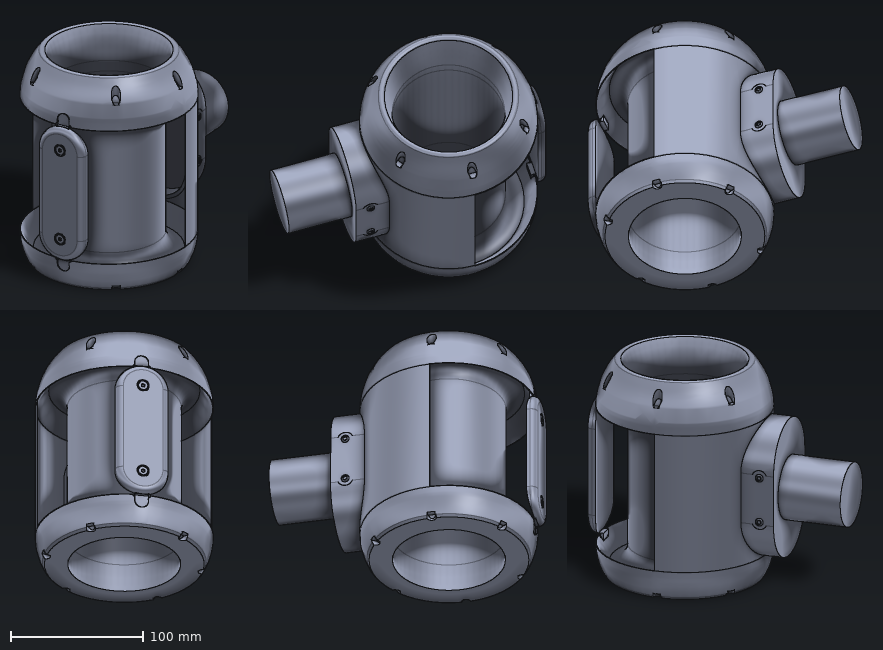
import cadquery as cq
import math

SKIN = 0.5
BORE_R = 42.7
TUBE_R = BORE_R + SKIN
SHELL_R = 67.5
SHELL_INNER_R = SHELL_R - SKIN
WINDOW_HALF = 55.0
BODY_HEIGHT = 172.74
BOTTOM_Z = -79.0
TOP_Z = BOTTOM_Z + BODY_HEIGHT
TROUGH_R = 14.0
TUBE_JOINT_DROP = 1.0

TOP_DOME_R = 57.0
RIM_INNER_R = 48.5
RIM_DROP = 0.9
BELL_START_Z = 65.0

BOTTOM_DOME_R = 47.0
BOTTOM_EDGE_HEIGHT = 2.0
BOTTOM_EDGE_INSET = 1.6

CAP_HOLE_D = 7.0
CAP_HOLE_CIRCLE_R = 60.6
CAP_HOLE_ANGLE = 54.0
CAP_HOLE_DEPTH = 4.0
CAP_HOLE_LIMIT_Z = 75.0

TOTAL_LENGTH_Y = 206.19

NECK_W = 70.0
NECK_H = 2 * WINDOW_HALF
NECK_END_Y = 84.0
NECK_ROOT_Y = 45.0
NECK_WALL = 3.0
PIPE_D = 50.0
PIPE_END_Y = 134.0

NECK_SCREW_Y = 72.6
NECK_SCREW_Z = 17.7
NECK_PAD_D = 12.0
NECK_SCREW_D = 6.0
NECK_SCREW_HEIGHT = 1.2
NECK_SCREW_EDGE = 0.8
NECK_HEX = 3.0
NECK_HEX_DEPTH = 1.0

PLATE_FRONT_Y = PIPE_END_Y - TOTAL_LENGTH_Y
PLATE_W = 40.5
PLATE_H = 2 * WINDOW_HALF
PLATE_EDGE_R = 5.0
PLATE_SCREW_Z = 36.7
SCREW_RECESS_D = 9.4
SCREW_HEAD_D = 7.4
SCREW_RECESS_DEPTH = 2.0
PLATE_HEX = 2.5
PLATE_HEX_DEPTH = 1.5

NOTCH_W = 10.6
NOTCH_END_Z = 65.0
NOTCH_FLOOR_Y = -66.0
NOTCH_MOUTH_R = 1.5
TONGUE_FRONT_Y = -68.5
TONGUE_BACK_Y = -63.5
TONGUE_LAP = 1.0
TONGUE_END_Z = 60.0


def dome_radius(dome_r, height):
    """Radius of a dome that leaves the shell tangentially, at a height from the window."""
    return SHELL_R - dome_r + math.sqrt(dome_r**2 - height**2)


def cap_trough(profile, side):
    """Add a cap's hollow to the body profile, from its window lip to the tube."""
    joint_z = side * (WINDOW_HALF + TUBE_JOINT_DROP)
    floor = (TUBE_R + TROUGH_R, joint_z + side * TROUGH_R)
    middle_step = TROUGH_R * math.sqrt(0.5)
    middle = (floor[0] - middle_step, joint_z + side * middle_step)
    lip = (SHELL_INNER_R, side * WINDOW_HALF)
    joint = (TUBE_R, joint_z)
    if side < 0:
        return profile.lineTo(*lip).lineTo(*floor).threePointArc(middle, joint)
    return profile.lineTo(*joint).threePointArc(middle, floor).lineTo(*lip)


def caps_and_tube():
    """Both caps and the inner tube, revolved in one piece (X = radius, Y = height)."""
    edge_z = BOTTOM_Z + BOTTOM_EDGE_HEIGHT
    edge_height = -WINDOW_HALF - edge_z
    edge_r = dome_radius(BOTTOM_DOME_R, edge_height)
    profile = (
        cq.Workplane("XZ")
        .moveTo(BORE_R, BOTTOM_Z)
        .lineTo(edge_r - BOTTOM_EDGE_INSET, BOTTOM_Z)
        .lineTo(edge_r, edge_z)
        .threePointArc(
            (dome_radius(BOTTOM_DOME_R, edge_height / 2), -WINDOW_HALF - edge_height / 2),
            (SHELL_R, -WINDOW_HALF),
        )
    )
    profile = cap_trough(profile, -1)
    profile = cap_trough(profile, 1)

    rim_z = TOP_Z - RIM_DROP
    rim_height = rim_z - WINDOW_HALF
    rim_outer_r = dome_radius(TOP_DOME_R, rim_height)
    bell_height = rim_z - BELL_START_Z
    bell_flare = RIM_INNER_R - BORE_R
    bell_r = (bell_height**2 + bell_flare**2) / (2 * bell_flare)
    bell_mid_r = BORE_R + bell_r - math.sqrt(bell_r**2 - (bell_height / 2) ** 2)
    return (
        profile.lineTo(SHELL_R, WINDOW_HALF)
        .threePointArc(
            (dome_radius(TOP_DOME_R, rim_height / 2), WINDOW_HALF + rim_height / 2),
            (rim_outer_r, rim_z),
        )
        .threePointArc(((rim_outer_r + RIM_INNER_R) / 2, TOP_Z), (RIM_INNER_R, rim_z))
        .threePointArc((bell_mid_r, BELL_START_Z + bell_height / 2), (BORE_R, BELL_START_Z))
        .close()
        .revolve(360, (0, 0, 0), (0, 1, 0))
    )


def cap_hole_points():
    """Two holes on the X axis and four mirrored about both axes."""
    points = [(CAP_HOLE_CIRCLE_R, 0), (-CAP_HOLE_CIRCLE_R, 0)]
    x = CAP_HOLE_CIRCLE_R * math.cos(math.radians(CAP_HOLE_ANGLE))
    y = CAP_HOLE_CIRCLE_R * math.sin(math.radians(CAP_HOLE_ANGLE))
    for side in (-1, 1):
        points += [(side * x, y), (side * x, -y)]
    return points


def cap_holes(side, end_z, dome_r):
    """Vertical holes from one end, with floors running parallel to the dome."""
    depth = abs(end_z) - CAP_HOLE_LIMIT_Z
    holes = (
        cq.Workplane("XY", origin=(0, 0, end_z))
        .pushPoints(cap_hole_points())
        .circle(CAP_HOLE_D / 2)
        .extrude(-side * depth)
    )
    floor_arc_r = dome_r - CAP_HOLE_DEPTH
    floor_axis_r = SHELL_R - dome_r
    floor_step = floor_arc_r * math.sqrt(0.5)
    window_z = side * WINDOW_HALF
    floor_dome = (
        cq.Workplane("XZ")
        .moveTo(0, window_z)
        .lineTo(floor_axis_r + floor_arc_r, window_z)
        .threePointArc(
            (floor_axis_r + floor_step, window_z + side * floor_step),
            (floor_axis_r, window_z + side * floor_arc_r),
        )
        .lineTo(0, window_z + side * floor_arc_r)
        .close()
        .revolve(360, (0, 0, 0), (0, 1, 0))
    )
    return holes.cut(floor_dome)


def block(x_size, y_range, z_range):
    """Box centred on X = 0 between two Y and two Z positions."""
    y_low, y_high = y_range
    z_low, z_high = z_range
    return (
        cq.Workplane("XY")
        .box(x_size, y_high - y_low, z_high - z_low)
        .translate((0, (y_low + y_high) / 2, (z_low + z_high) / 2))
    )


def upright_slot(width, height, y_low, y_high):
    """Round-ended upright slot shape extruded along +Y."""
    return (
        cq.Workplane("XZ", origin=(0, y_low, 0))
        .slot2D(height, width, 90)
        .extrude(-(y_high - y_low))
    )


def core_cylinder(radius):
    """Cylinder on the body axis, as tall as the whole body."""
    return cq.Workplane("XY", origin=(0, 0, BOTTOM_Z)).circle(radius).extrude(TOP_Z - BOTTOM_Z)


def half_shell():
    ring = (
        cq.Workplane("XY", origin=(0, 0, -WINDOW_HALF))
        .circle(SHELL_R)
        .circle(SHELL_INNER_R)
        .extrude(2 * WINDOW_HALF)
    )
    return ring.intersect(block(2 * SHELL_R, (0, SHELL_R), (-WINDOW_HALF, WINDOW_HALF)))


def neck():
    """Slot-shaped neck with flat pads for the side screws, and the pipe."""
    outside = upright_slot(NECK_W, NECK_H, NECK_ROOT_Y, NECK_END_Y)
    for z in (-NECK_SCREW_Z, NECK_SCREW_Z):
        pad = (
            cq.Workplane("YZ", origin=(-NECK_W / 2, NECK_SCREW_Y, z))
            .circle(NECK_PAD_D / 2)
            .extrude(NECK_W)
        )
        outside = outside.union(pad)
    pipe = (
        cq.Workplane("XZ", origin=(0, NECK_END_Y, 0))
        .circle(PIPE_D / 2)
        .extrude(NECK_END_Y - PIPE_END_Y)
    )
    return outside.cut(core_cylinder(SHELL_INNER_R)).union(pipe)


def neck_cavity():
    """Hollow of the neck, open through the shell to the inside."""
    cavity = upright_slot(
        NECK_W - 2 * NECK_WALL, NECK_H - 2 * NECK_WALL, NECK_ROOT_Y, NECK_END_Y - NECK_WALL
    )
    return cavity.cut(core_cylinder(TUBE_R))


def neck_screw_heads():
    heads = []
    for side in (-1, 1):
        for z in (-NECK_SCREW_Z, NECK_SCREW_Z):
            head = (
                cq.Workplane("YZ", origin=(side * NECK_W / 2, NECK_SCREW_Y, z))
                .circle(NECK_SCREW_D / 2)
                .extrude(side * NECK_SCREW_HEIGHT)
                .faces(">X" if side > 0 else "<X")
                .edges()
                .fillet(NECK_SCREW_EDGE)
            )
            socket = (
                cq.Workplane("YZ", origin=(side * (NECK_W / 2 + NECK_SCREW_HEIGHT), NECK_SCREW_Y, z))
                .polygon(6, NECK_HEX, circumscribed=True)
                .extrude(-side * NECK_HEX_DEPTH)
            )
            heads.append(head.cut(socket))
    return heads


def clamp_plate():
    """Round-ended plate whose back follows the shell radius, with two recessed screws."""
    plate = upright_slot(PLATE_W, PLATE_H, PLATE_FRONT_Y, -BORE_R)
    plate = plate.faces("<Y").edges().fillet(PLATE_EDGE_R)
    plate = plate.cut(core_cylinder(SHELL_R))
    screw_points = [(0, -PLATE_SCREW_Z), (0, PLATE_SCREW_Z)]
    front = cq.Workplane("XZ", origin=(0, PLATE_FRONT_Y, 0)).pushPoints(screw_points)
    recesses = front.circle(SCREW_RECESS_D / 2).circle(SCREW_HEAD_D / 2).extrude(-SCREW_RECESS_DEPTH)
    sockets = front.polygon(6, PLATE_HEX, circumscribed=True).extrude(-PLATE_HEX_DEPTH)
    return plate.cut(recesses).cut(sockets)


def notch(side):
    """U-shaped notch with a flared mouth, cut into a cap from the front."""
    half_w = NOTCH_W / 2
    mouth_z = side * WINDOW_HALF
    flare_z = side * (WINDOW_HALF + NOTCH_MOUTH_R)
    arc_z = side * (NOTCH_END_Z - half_w)
    outline = (
        cq.Workplane("XZ", origin=(0, NOTCH_FLOOR_Y, 0))
        .moveTo(-half_w - NOTCH_MOUTH_R, mouth_z)
        .radiusArc((-half_w, flare_z), side * NOTCH_MOUTH_R)
        .lineTo(-half_w, arc_z)
        .threePointArc((0, side * NOTCH_END_Z), (half_w, arc_z))
        .lineTo(half_w, flare_z)
        .radiusArc((half_w + NOTCH_MOUTH_R, mouth_z), side * NOTCH_MOUTH_R)
        .close()
    )
    return outline.extrude(NOTCH_FLOOR_Y + SHELL_R)


def tongue(side):
    """Small bracket behind the notch floor that carries one end of the clamp plate."""
    edge_z = WINDOW_HALF - TONGUE_LAP
    pad_z = sorted((side * edge_z, side * TONGUE_END_Z))
    bar_z = sorted((side * edge_z, side * WINDOW_HALF))
    pad = block(NOTCH_W, (NOTCH_FLOOR_Y, TONGUE_BACK_Y), pad_z)
    bar = block(NOTCH_W, (TONGUE_FRONT_Y, TONGUE_BACK_Y), bar_z)
    return pad.union(bar)


def build():
    body = caps_and_tube()
    body = body.cut(cap_holes(1, TOP_Z, TOP_DOME_R))
    body = body.cut(cap_holes(-1, BOTTOM_Z, BOTTOM_DOME_R))
    for side in (-1, 1):
        body = body.cut(notch(side))

    body = body.union(half_shell()).union(neck()).cut(neck_cavity())
    for head in neck_screw_heads():
        body = body.union(head)

    body = body.union(clamp_plate())
    for side in (-1, 1):
        body = body.union(tongue(side))
    return body


result = build()